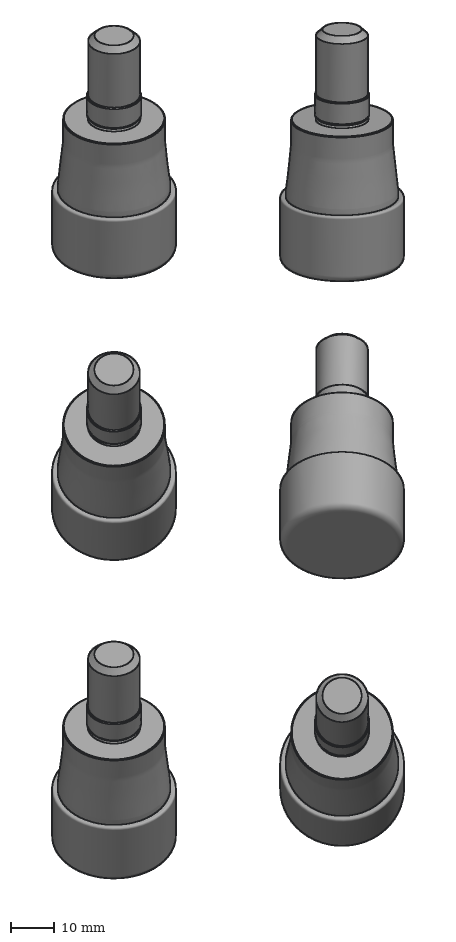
import cadquery as cq

cap_diameter = 28.55
cap_radius = cap_diameter / 2
cap_height = 16.2
cap_top_round = 0.5
cap_bottom_round = 1.65

skirt_radius = 13.0
skirt_height = 0.45
shoulder_radius = 11.75
shoulder_top = 35.0
shoulder_chamfer = 0.2
blend_height = 1.0
blend_rise = 0.05
upper_blend_top = 29.45

stud_radius = 6.0
stud_top = 57
stud_chamfer_height = 1.4
stud_chamfer_width = 1.5
collar_radius = 6.25
collar_top = 41.3
collar_bottom = 35.8
collar_chamfer = 0.3
neck_radius = 5.75
neck_bottom = 35.45
flare_radius = 6.1


def make_cap():
    """Solid cylinder with a large bottom round and a small top round."""
    cap = cq.Workplane("XY").circle(cap_radius).extrude(cap_height)
    cap = cap.faces("<Z").edges().fillet(cap_bottom_round)
    return cap.faces(">Z").edges().fillet(cap_top_round)


def make_body():
    """Revolve the shoulder and stud profile about Z; X is the radius."""
    skirt_top = cap_height + skirt_height
    taper_bottom = skirt_top + blend_height
    taper_top = upper_blend_top - blend_height
    taper_bottom_radius = skirt_radius - blend_rise
    taper_top_radius = shoulder_radius + blend_rise
    profile = (
        cq.Workplane("XZ")
        .moveTo(0, cap_height)
        .lineTo(skirt_radius, cap_height)
        .lineTo(skirt_radius, skirt_top)
        .tangentArcPoint((taper_bottom_radius, taper_bottom), relative=False)
        .lineTo(taper_top_radius, taper_top)
        .tangentArcPoint((shoulder_radius, upper_blend_top), relative=False)
        .lineTo(shoulder_radius, shoulder_top - shoulder_chamfer)
        .lineTo(shoulder_radius - shoulder_chamfer, shoulder_top)
        .lineTo(flare_radius, shoulder_top)
        .lineTo(neck_radius, neck_bottom)
        .lineTo(neck_radius, collar_bottom)
        .lineTo(collar_radius - collar_chamfer, collar_bottom)
        .lineTo(collar_radius, collar_bottom + collar_chamfer)
        .lineTo(collar_radius, collar_top - collar_chamfer)
        .lineTo(stud_radius, collar_top)
        .lineTo(stud_radius, stud_top - stud_chamfer_height)
        .lineTo(stud_radius - stud_chamfer_width, stud_top)
        .lineTo(0, stud_top)
        .close()
    )
    return profile.revolve(360, (0, 0, 0), (0, 1, 0))


cap = make_cap()
body = make_body()
result = cq.Compound.makeCompound([cap.val(), body.val()])